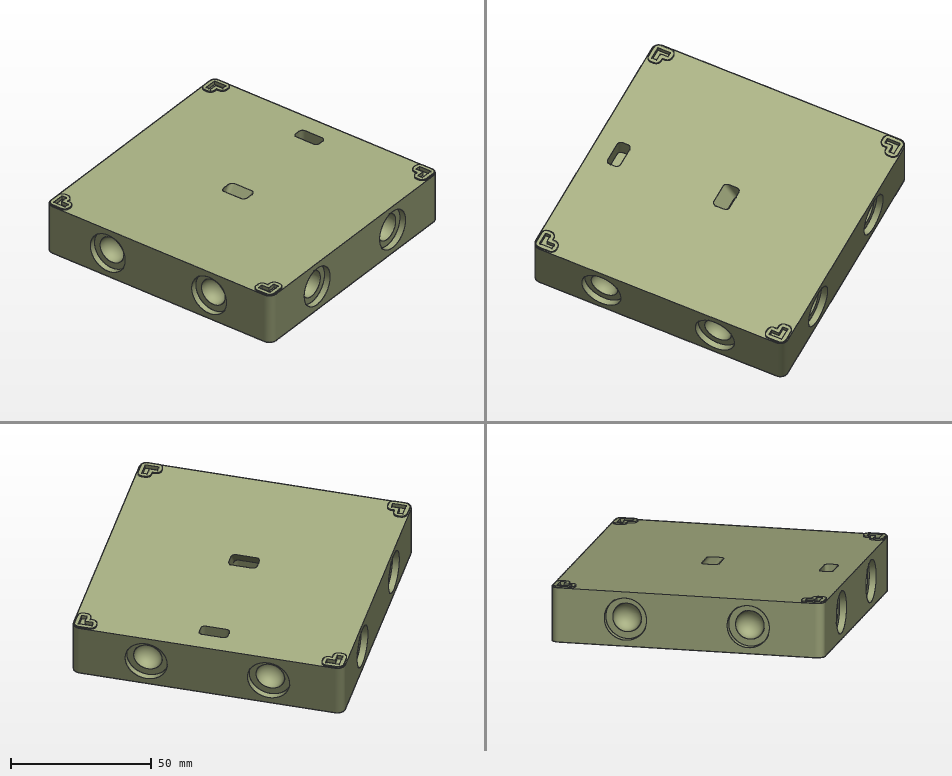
import cadquery as cq
import math

side = 100.0
block_height = 20.0
corner_radius = 3.0

foot_height = 0.5
foot_inset = 0.5
foot_length = 8.0
foot_width = 5.0
foot_radius = 2.0
foot_margin = 1.5
groove_depth = 1.5

socket_spacing = 45.0
socket_z = block_height / 2
counterbore_diameter = 15.5
counterbore_depth = 2.5
bore_depth = 1.0
bowl_diameter = 10.5

slot_length = 10.5
slot_width = 5.0
slot_radius = 1.5
blind_slot_y = 40.0
blind_slot_depth = 6.0
channel_tilt = 37.0
channel_top_y = -2.6
channel_depth = 5.6


def rounded_bar(length, width, height):
    """Bar centred on the origin, with its long corners rounded along Z."""
    return cq.Workplane("XY").box(length, width, height).edges("|Z").fillet(slot_radius)


def angle_outline(inset, length, width, bottom):
    """L outline in the -X -Y corner, its outer sides 'inset' in from the sides of the block."""
    outer = inset - side / 2
    inner = outer + width
    end = outer + length
    return (
        cq.Workplane("XY", origin=(0, 0, bottom))
        .polyline([(outer, outer), (end, outer), (end, inner), (inner, inner), (inner, end), (outer, end)])
        .close()
    )


def foot():
    """L pad grown from a slimmer L, so that its outer corners all have the same radius."""
    inset = foot_inset + foot_radius
    length = foot_length - 2 * foot_radius
    width = foot_width - 2 * foot_radius
    return angle_outline(inset, length, width, block_height).offset2D(foot_radius).extrude(foot_height)


def groove():
    """L groove cutter that opens through the top of the foot."""
    inset = foot_inset + foot_margin
    length = foot_length - 2 * foot_margin
    width = foot_width - 2 * foot_margin
    floor = block_height + foot_height - groove_depth
    return angle_outline(inset, length, width, floor).extrude(groove_depth)


def socket(x):
    """Socket cutter entering the -Y side at the given X, turned about the socket's own axis."""
    bowl_radius = bowl_diameter / 2
    counterbore_radius = counterbore_diameter / 2
    bowl_start = counterbore_depth + bore_depth
    arc_step = bowl_radius * math.sqrt(0.5)
    profile = (
        cq.Workplane("XY")
        .lineTo(counterbore_radius, 0)
        .lineTo(counterbore_radius, counterbore_depth)
        .lineTo(bowl_radius, counterbore_depth)
        .lineTo(bowl_radius, bowl_start)
        .threePointArc((arc_step, bowl_start + arc_step), (0, bowl_start + bowl_radius))
        .close()
    )
    return profile.revolve(360, (0, 0), (0, 1)).translate((x, -side / 2, socket_z))


def blind_slot():
    """Cutter centred on the top face, so its lower half makes the slot."""
    return rounded_bar(slot_length, slot_width, 2 * blind_slot_depth).translate((0, blind_slot_y, block_height))


def tilted_channel():
    """Channel leaning toward -Y as it goes down, then dropping straight through the underside."""
    slope = math.radians(channel_tilt)
    opening_width = slot_width / math.cos(slope)
    exit_y = channel_top_y - channel_depth * math.tan(slope)
    exit_z = block_height - channel_depth
    lean = (
        rounded_bar(slot_length, slot_width, side)
        .rotate((0, 0, 0), (1, 0, 0), -channel_tilt)
        .translate((0, channel_top_y, block_height))
    )
    above_exit = cq.Workplane("XY").box(side, side, side).translate((0, 0, exit_z + side / 2))
    drop = rounded_bar(slot_length, opening_width, exit_z).translate((0, exit_y, exit_z / 2))
    return lean.intersect(above_exit).union(drop)


result = cq.Workplane("XY").box(side, side, block_height, centered=(True, True, False))
result = result.edges("|Z").fillet(corner_radius)

for turn in (0, 90, 180, 270):
    axis = ((0, 0, 0), (0, 0, 1), turn)
    result = result.union(foot().rotate(*axis)).cut(groove().rotate(*axis))
    for x in (-socket_spacing / 2, socket_spacing / 2):
        result = result.cut(socket(x).rotate(*axis))

result = result.cut(blind_slot()).cut(tilted_channel())